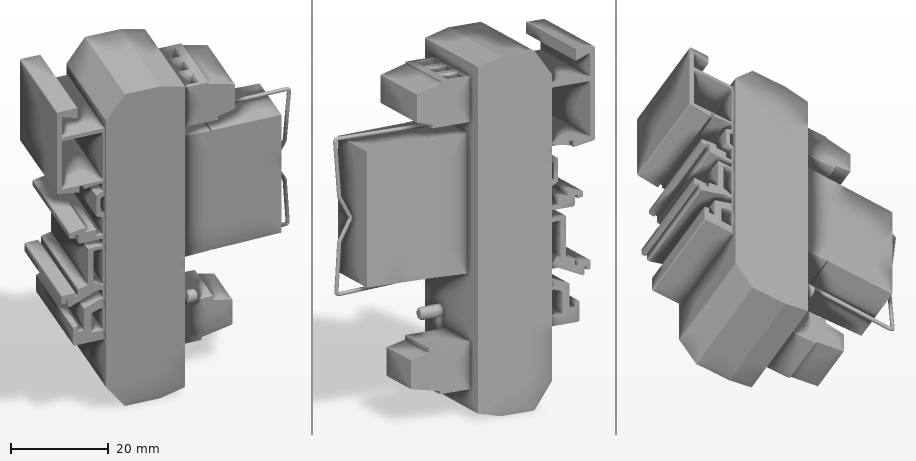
import cadquery as cq


HOUSING_WIDTH = 22.3
HOUSING_DEPTH = 17.3
HOUSING_HEIGHT = 77.2
FRONT_BEVEL_DEPTH = 4.1
FRONT_BEVEL_HEIGHT = 5.6
BACK_BEVEL_DEPTH = 5.4
BACK_BEVEL_HEIGHT = 1.4

FOOT_WIDTH = 20.8
FOOT_SKIN = 0.4
FOOT_TOP = 30.7
FOOT_BOTTOM = -21.5
FOOT_FRONT = -10.5
HOOK_INNER_FACE = -9.4
HOOK_TOP = 37.2
LATCH_BOX_TOP = 1.8
FOOT_CORNER_RADIUS = 0.4
WINDOW_RADIUS = 0.3

TERMINAL_LEFT = -7.8
POLE_PITCH = 5.0
UPPER_POLES = 3
LOWER_POLES = 2
TERMINAL_END_WALL = 0.15
FUNNEL_LENGTH = 4.5
FUNNEL_WIDTH = 3.5
FUNNEL_FLOOR_LENGTH = 2.6
FUNNEL_FLOOR_WIDTH = 1.2
FUNNEL_DEPTH = 1.55
FUNNEL_Y = 19.9
UPPER_TERMINAL_TOP = 34.2
LOWER_TERMINAL_TOP = -22.6

RELAY_Z = 6.65
RELAY_JOINT_Y = 25.0
RELAY_BACK_Y = 40.5
RELAY_BACK_WIDTH = 12.2
RELAY_BACK_HEIGHT = 29.2
RELAY_JOINT_WIDTH = 12.9
RELAY_JOINT_HEIGHT = 29.6
SOCKET_BASE_WIDTH = 13.1
SOCKET_BASE_HEIGHT = 30.1
SOCKET_CHAMFER = 0.4

WIRE_RADIUS = 0.425
WIRE_BEND_RADIUS = 0.6
WIRE_END_DEPTH = 1.15

LAMP_X = 4.9
LAMP_Z = -19.5
LAMP_END_Y = 22.25
LAMP_BASE_RADIUS = 1.5
LAMP_END_RADIUS = 1.3
LAMP_END_FILLET = 0.6
LAMP_PAD_WIDTH = 2.3
LAMP_PAD_BOTTOM = -34.75
LAMP_PAD_THICKNESS = 1.15
LAMP_PAD_FILLET = 0.8


def extrude_profile(points, left, width):
    """Closed outline of (y, z) points, extruded along +X from `left`."""
    return cq.Workplane("YZ", origin=(left, 0, 0)).polyline(points).close().extrude(width)


def foot_piece(points):
    return extrude_profile(points, -FOOT_WIDTH / 2, FOOT_WIDTH)


def round_corner(piece, y, z):
    """Round the edge along X that passes through (y, z)."""
    edge = piece.edges(cq.selectors.NearestToPointSelector((0, y, z)))
    return edge.fillet(FOOT_CORNER_RADIUS)


def foot_window(points):
    """Cutting tool for a window in the foot, with rounded corners beside the skin."""
    return foot_piece(points).edges("|X and >Y").fillet(WINDOW_RADIUS)


def tapered_block(y_start, width_start, height_start, y_end, width_end, height_end):
    """Block along +Y, centred on the relay, with a rectangle at each end."""
    return (
        cq.Workplane("XZ", origin=(0, y_start, RELAY_Z))
        .rect(width_start, height_start)
        .workplane(offset=y_start - y_end)
        .rect(width_end, height_end)
        .loft()
    )


def make_housing_block():
    top = HOUSING_HEIGHT / 2
    upper_half = [
        (0, top - FRONT_BEVEL_HEIGHT),
        (FRONT_BEVEL_DEPTH, top),
        (HOUSING_DEPTH - BACK_BEVEL_DEPTH, top),
        (HOUSING_DEPTH, top - BACK_BEVEL_HEIGHT),
    ]
    lower_half = [(y, -z) for y, z in reversed(upper_half)]
    return extrude_profile(upper_half + lower_half, -HOUSING_WIDTH / 2, HOUSING_WIDTH)


def make_rail_hook():
    """Square tube with the upper hook and the lower snap lips."""
    hook = foot_piece([
        (0, FOOT_TOP), (HOOK_INNER_FACE, FOOT_TOP), (HOOK_INNER_FACE, 35.9),
        (-6.0, 34.7), (-6.0, HOOK_TOP), (FOOT_FRONT, HOOK_TOP),
        (FOOT_FRONT, 17.0), (-5.55, 16.2), (-5.55, 17.7),
        (-4.55, 17.7), (-4.55, 16.75), (-2.2, 17.2), (0, 17.2),
    ])
    hook = hook.edges("|X and <Y").fillet(FOOT_CORNER_RADIUS)
    tube_window = foot_window([
        (-FOOT_SKIN, 29.8), (HOOK_INNER_FACE, 29.8),
        (HOOK_INNER_FACE, 17.9), (-FOOT_SKIN, 17.9),
    ])
    return hook.cut(tube_window)


def make_skin():
    return foot_piece([(0, FOOT_TOP), (-FOOT_SKIN, FOOT_TOP), (-FOOT_SKIN, FOOT_BOTTOM), (0, FOOT_BOTTOM)])


def make_bump():
    return foot_piece([(0, 15.3), (-FOOT_SKIN, 15.3), (-1.85, 14.45), (-1.85, 9.35), (-FOOT_SKIN, 8.6), (0, 8.6)])


def make_bump_hollow():
    return foot_piece([(0, 13.9), (-FOOT_SKIN, 13.9), (-0.9, 13.5), (-0.9, 10.1), (-FOOT_SKIN, 9.65), (0, 9.65)])


def make_upper_latch():
    latch = foot_piece([
        (0, 4.4), (-1.85, 4.4), (-1.85, 6.0), (-4.1, 6.0), (-4.1, 7.0), (-5.4, 7.0),
        (-7.7, 6.6), (-7.7, 5.25), (-6.5, 5.1), (-6.5, 5.8), (-5.8, 5.8), (-5.8, 3.5), (0, 3.5),
    ])
    latch = round_corner(latch, -7.7, 6.6)
    return round_corner(latch, -5.8, 3.5)


def make_lower_latch():
    """Hollow box with a slanted arm that ends in a second latch."""
    latch = foot_piece([
        (0, LATCH_BOX_TOP), (-3.7, LATCH_BOX_TOP), (-3.7, -7.2), (-5.9, -7.7), (-5.9, -9.35), (-6.5, -9.35),
        (-6.5, -8.5), (-9.5, -8.5), (-9.5, -10.6), (-8.6, -10.6), (-8.6, -9.9),
        (-8.1, -9.9), (-8.1, -11.4), (-7.65, -11.65), (-1.9, -9.1), (0, -9.1),
    ])
    latch = round_corner(latch, -9.5, -8.5)
    window = foot_window([
        (-FOOT_SKIN, 0.9), (-2.5, 0.9), (-2.5, -6.95), (-0.8, -7.95), (-FOOT_SKIN, -7.95),
    ])
    return latch.cut(window)


def make_lower_claw():
    """Hollow bracket with the upturned claw at the bottom of the foot."""
    claw = foot_piece([
        (0, -11.1), (-FOOT_SKIN, -11.1), (-4.55, -12.9), (-4.55, -18.2), (-5.9, -18.2),
        (-5.9, -16.7), (-6.95, -17.1), (-6.95, FOOT_BOTTOM), (0, FOOT_BOTTOM),
    ])
    claw = round_corner(claw, -4.55, -12.9)
    claw = round_corner(claw, -6.95, FOOT_BOTTOM)
    window = foot_window([
        (-FOOT_SKIN, -13.7), (-1.0, -13.7), (-2.9, -14.4), (-2.9, -19.15), (-FOOT_SKIN, -19.15),
    ])
    return claw.cut(window)


def make_foot():
    foot = make_skin().union(make_bump()).cut(make_bump_hollow())
    for piece in (make_rail_hook(), make_upper_latch(), make_lower_latch(), make_lower_claw()):
        foot = foot.union(piece)
    return round_corner(foot, -FOOT_SKIN, LATCH_BOX_TOP)


def terminal_width(poles):
    return poles * POLE_PITCH + TERMINAL_END_WALL


def make_wire_funnel(x):
    """Wire entry that narrows from the top face of the terminal block."""
    return (
        cq.Workplane("XY", origin=(x, FUNNEL_Y, UPPER_TERMINAL_TOP))
        .rect(FUNNEL_WIDTH, FUNNEL_LENGTH)
        .workplane(offset=-FUNNEL_DEPTH)
        .rect(FUNNEL_FLOOR_WIDTH, FUNNEL_FLOOR_LENGTH)
        .loft()
    )


def make_upper_terminal():
    width = terminal_width(UPPER_POLES)
    block = extrude_profile([
        (HOUSING_DEPTH, UPPER_TERMINAL_TOP), (23.9, UPPER_TERMINAL_TOP), (23.9, 33.8),
        (29.7, 32.3), (29.7, 26.25), (26.0, 25.3), (26.0, 24.5), (HOUSING_DEPTH, 24.5),
    ], TERMINAL_LEFT, width)
    middle = TERMINAL_LEFT + width / 2
    for pole in range(UPPER_POLES):
        offset = (pole - (UPPER_POLES - 1) / 2) * POLE_PITCH
        block = block.cut(make_wire_funnel(middle + offset))
    return block


def make_lower_terminal():
    return extrude_profile([
        (HOUSING_DEPTH, LOWER_TERMINAL_TOP), (26.9, LOWER_TERMINAL_TOP), (26.9, -23.6),
        (31.1, -24.55), (31.1, -30.7), (24.3, -32.2), (24.3, -32.9), (HOUSING_DEPTH, -32.9),
    ], TERMINAL_LEFT, terminal_width(LOWER_POLES))


def make_socket():
    socket = tapered_block(
        HOUSING_DEPTH, SOCKET_BASE_WIDTH, SOCKET_BASE_HEIGHT,
        RELAY_JOINT_Y, RELAY_JOINT_WIDTH, RELAY_JOINT_HEIGHT,
    )
    return socket.faces(">Y").edges("|X").chamfer(SOCKET_CHAMFER)


def make_lamp():
    """Tapered lamp on the upper end of a rounded pad."""
    lamp = (
        cq.Workplane("XZ", origin=(LAMP_X, HOUSING_DEPTH, LAMP_Z))
        .circle(LAMP_BASE_RADIUS)
        .workplane(offset=HOUSING_DEPTH - LAMP_END_Y)
        .circle(LAMP_END_RADIUS)
        .loft()
        .faces(">Y").edges().fillet(LAMP_END_FILLET)
    )
    pad = (
        cq.Workplane("XY")
        .box(LAMP_PAD_WIDTH, LAMP_PAD_THICKNESS, LAMP_Z - LAMP_PAD_BOTTOM, centered=(True, False, False))
        .translate((LAMP_X, HOUSING_DEPTH, LAMP_PAD_BOTTOM))
        .faces(">Y").edges().fillet(LAMP_PAD_FILLET)
    )
    return lamp.union(pad)


def make_base_module(clip):
    base = make_housing_block()
    features = (make_foot(), make_upper_terminal(), make_lower_terminal(), make_socket(), make_lamp())
    for feature in features:
        base = base.union(feature)
    return base.cut(clip)


def make_relay():
    return tapered_block(
        RELAY_JOINT_Y, RELAY_JOINT_WIDTH, RELAY_JOINT_HEIGHT,
        RELAY_BACK_Y, RELAY_BACK_WIDTH, RELAY_BACK_HEIGHT,
    )


def make_wire_clip():
    """Bent round wire from the socket top, over the relay back, to the socket underside."""
    socket_top = RELAY_Z + SOCKET_BASE_HEIGHT / 2
    socket_bottom = RELAY_Z - SOCKET_BASE_HEIGHT / 2
    bends = [
        (19.0, 22.55), (44.55, 22.85), (43.55, 10.3),
        (RELAY_BACK_Y + WIRE_RADIUS, 5.4),
        (43.55, 0.6), (44.25, -10.6), (18.8, -9.35),
    ]
    start = (bends[0][0], socket_top - WIRE_END_DEPTH)
    end = (bends[-1][0], socket_bottom + WIRE_END_DEPTH)
    path = cq.Wire.makePolygon([cq.Vector(0, y, z) for y, z in [start, *bends, end]])
    corners = path.Vertices()[1:-1]
    path = path.fillet2D(WIRE_BEND_RADIUS, corners)
    section = cq.Workplane("XY", origin=(0, *start)).circle(WIRE_RADIUS)
    return section.sweep(cq.Workplane(path))


wire_clip = make_wire_clip()
relay = make_relay()
base_module = make_base_module(wire_clip)

result = cq.Compound.makeCompound([base_module.val(), relay.val(), wire_clip.val()])